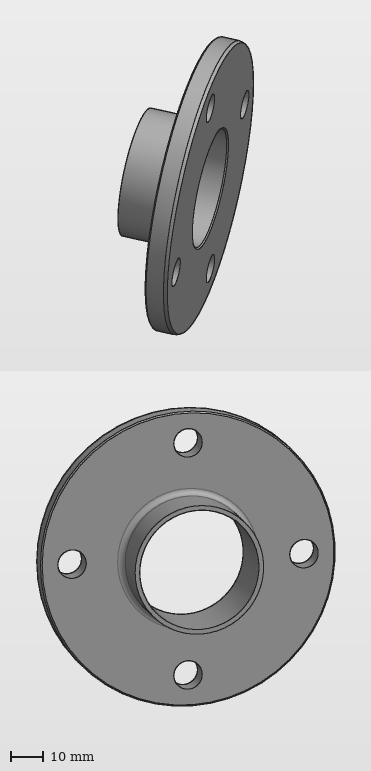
import cadquery as cq

flange_diameter = 94.0
flange_thickness = 7.2
total_length = 24.0

neck_diameter = 41.0
bore_diameter = 38.0
neck_fillet_radius = 2.0

front_bevel = 0.5
back_bevel_length = 1.1
back_bevel_depth = 0.5

bore_bevel = 0.5

bolt_hole_diameter = 9.0
bolt_circle_diameter = 74.0
bolt_hole_count = 4

flange_radius = flange_diameter / 2
neck_radius = neck_diameter / 2
bore_radius = bore_diameter / 2
flange_face = total_length - flange_thickness


def revolved_body():
    """Flange, filleted neck and bore, revolved about the X axis."""
    profile = (
        cq.Workplane("XY")
        .moveTo(0, bore_radius)
        .lineTo(0, neck_radius)
        .lineTo(flange_face - neck_fillet_radius, neck_radius)
        .radiusArc((flange_face, neck_radius + neck_fillet_radius), -neck_fillet_radius)
        .lineTo(flange_face, flange_radius - front_bevel)
        .lineTo(flange_face + front_bevel, flange_radius)
        .lineTo(total_length - back_bevel_length, flange_radius)
        .lineTo(total_length, flange_radius - back_bevel_depth)
        .lineTo(total_length, bore_radius + bore_bevel)
        .lineTo(total_length - bore_bevel, bore_radius)
        .close()
    )
    return profile.revolve(360, (0, 0, 0), (1, 0, 0))


def bolt_holes():
    """Through-hole cutters, equally spaced on the bolt circle."""
    return (
        cq.Workplane("YZ", origin=(flange_face, 0, 0))
        .polarArray(bolt_circle_diameter / 2, 0, 360, bolt_hole_count)
        .circle(bolt_hole_diameter / 2)
        .extrude(flange_thickness)
    )


result = revolved_body().cut(bolt_holes())